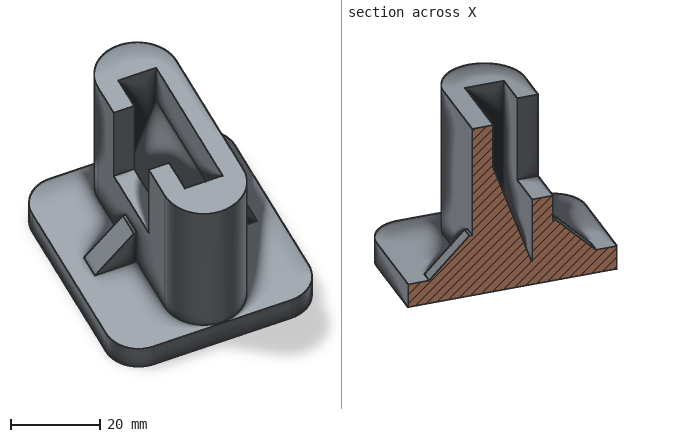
import cadquery as cq

base_length = 56
base_width = 50.0
base_height = 6.0
base_corner_radius = 8.0

total_height = 43.0
pocket_length = 36.0
pocket_width = 9.3
wall = 5.05
housing_width = pocket_width + 2 * wall
housing_length = pocket_length + housing_width
housing_height = total_height - base_height

pocket_back_depth = 10.85
pocket_front_depth = housing_height

window_width = 19.0
window_depth = 21.0

gusset_width = 6.0
gusset_height = 9.65
gusset_reach = 20.0
gusset_slope_run = gusset_height


def make_base():
    plate = cq.Workplane("XY").box(base_length, base_width, base_height, centered=(True, True, False))
    return plate.edges("|Z").fillet(base_corner_radius)


def make_housing():
    base_top = cq.Workplane("XY").workplane(offset=base_height)
    return base_top.slot2D(housing_length, housing_width).extrude(housing_height)


def make_pocket():
    front = -pocket_width / 2
    back = pocket_width / 2
    profile = [
        (front, total_height),
        (back, total_height),
        (back, total_height - pocket_back_depth),
        (front, total_height - pocket_front_depth),
    ]
    return cq.Workplane("YZ").polyline(profile).close().extrude(pocket_length / 2, both=True)


def make_window():
    window = cq.Workplane("XY").box(window_width, wall, window_depth, centered=(True, False, False))
    return window.translate((0, -housing_width / 2, total_height - window_depth))


def make_gusset_pair():
    top = base_height + gusset_height
    shoulder = gusset_reach - gusset_slope_run
    profile = [
        (-gusset_reach, base_height),
        (-shoulder, top),
        (shoulder, top),
        (gusset_reach, base_height),
    ]
    return cq.Workplane("YZ").polyline(profile).close().extrude(gusset_width / 2, both=True)


body = make_base().union(make_housing()).union(make_gusset_pair())
result = body.cut(make_pocket()).cut(make_window())